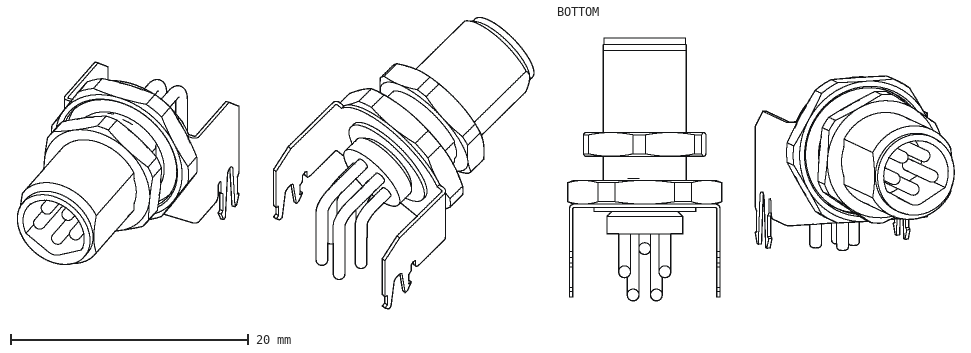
import cadquery as cq
import math


barrel_radius = 4.0
barrel_flat_half_width = 3.5
tip_radius = 3.45
tip_length = 0.55
tip_chamfer_length = 0.5
root_fillet = 0.16

socket_radius = 2.9
socket_depth = 6.5
key_distance = 2.39
key_tilt = 30.0
key_corner_radius = 1.0

nut_thickness = 2.0
nut_chamfer_height = 0.2
front_nut_start = 7.97
front_nut_flats = 10.0
front_nut_corner_radius = 5.5
front_nut_turn = 25.2
front_nut_bore_radius = 3.73
flange_start = 12.0
flange_flats = 12.0
flange_corner_radius = 6.5
flange_recess_radius = 5.41
flange_recess_chamfer = 0.15
flange_recess_depth = 1.0
collar_radius = 4.3
collar_fillet = 0.3

sheet = 0.3
bracket_front = flange_start + nut_thickness
bracket_half_width = 6.35
bracket_top = 2.5
bracket_bottom = -6.33
bracket_bend_radius = 0.4
bracket_disc_radius = flange_flats / 2
wall_back = 21.82
wall_bevel_y = 1.85
wall_bevel_z = 1.6

leg_center = 20.16
leg_half_width = 1.345
leg_shoulder_half_width = wall_back - leg_center
leg_shoulder_z = -5.97
leg_neck_z = -6.27
barb_top_z = -8.02
barb_point_z = -8.16
leg_end_z = -9.05
leg_end_outer = 1.2
leg_end_inner = 0.88
split_top_half_width = 0.48
split_side_z = -4.8
split_top_z = -4.43
gap_width = 0.53
gap_side_z = -4.95
gap_top_z = -4.7
gap_fillet = 0.5

ring_radius = 4.3
ring_thickness = 0.33
ring_end = bracket_front + sheet + ring_thickness
insulator_radius = 3.2
insulator_chamfer = 0.4
insulator_end = 16.5

pin_radius = 0.5
pin_tip_fillet = 0.3
pin_front = 0.35
pin_bend_radius = 1.5
pin_pitch = 1.95
first_leg_y = 17.75
upper_pin_end = -9.55
lower_pin_end = -9.4
pins = [
    (0.0, -1.36, first_leg_y, lower_pin_end),
    (-1.7, -0.35, first_leg_y + pin_pitch, lower_pin_end),
    (1.7, -0.35, first_leg_y + pin_pitch, lower_pin_end),
    (-0.98, 1.44, first_leg_y + 2 * pin_pitch, upper_pin_end),
    (0.98, 1.44, first_leg_y + 2 * pin_pitch, upper_pin_end),
]


def cross_section(y):
    """Workplane across the barrel axis at y: local x is X, local y is Z, extrusion runs to +Y."""
    return cq.Workplane(cq.Plane(origin=(0, y, 0), xDir=(1, 0, 0), normal=(0, -1, 0)))


def disc(radius, start, end):
    """Cylinder on the barrel axis between two Y positions."""
    return cross_section(start).circle(radius).extrude(start - end)


def revolve_profile(points):
    """Solid of revolution about the Y axis from (radius, y) points."""
    return cq.Workplane("XY").polyline(points).close().revolve(360, (0, 0, 0), (0, 1, 0))


def make_barrel():
    """Barrel with two flats, flaring into the flange collar through a root fillet."""
    root_start = flange_start - root_fillet
    root_radius = barrel_radius + root_fillet
    arc_offset = root_fillet * math.sin(math.radians(45))
    body = (
        cq.Workplane("XY")
        .moveTo(0, tip_length)
        .lineTo(tip_radius, tip_length)
        .lineTo(barrel_radius, tip_length + tip_chamfer_length)
        .lineTo(barrel_radius, root_start)
        .threePointArc((root_radius - arc_offset, root_start + arc_offset), (root_radius, flange_start))
        .lineTo(0, flange_start)
        .close()
        .revolve(360, (0, 0, 0), (0, 1, 0))
    )
    flats = cq.Workplane("XY").box(2 * barrel_flat_half_width, 2 * flange_start, 4 * barrel_radius)
    return body.intersect(flats).union(disc(tip_radius, 0, flange_start))


def make_socket():
    """Round socket closed below by a V-shaped key with a rounded apex."""
    pocket = disc(socket_radius, 0, socket_depth)
    apex_z = -key_distance / math.cos(math.radians(key_tilt))
    reach = 2 * socket_radius
    shoulder_z = apex_z + reach * math.tan(math.radians(key_tilt))
    key_outline = [
        (0, apex_z),
        (reach, shoulder_z),
        (reach, reach),
        (-reach, reach),
        (-reach, shoulder_z),
    ]
    key = (
        cross_section(0)
        .polyline(key_outline)
        .close()
        .extrude(-socket_depth)
        .edges(cq.selectors.NearestToPointSelector((0, socket_depth / 2, apex_z)))
        .fillet(key_corner_radius)
    )
    return pocket.intersect(key)


def make_hex(start, across_flats, corner_radius, turn):
    """Hexagonal nut whose corners are turned down to corner_radius and chamfered on both faces."""
    end = start + nut_thickness
    half_side_angle = math.radians(180 / 6)
    across_corners = across_flats / math.cos(half_side_angle)
    prism = (
        cross_section(start)
        .polygon(6, across_corners)
        .extrude(-nut_thickness)
        .rotate((0, 0, 0), (0, 1, 0), -turn)
    )
    face_radius = across_flats / 2
    blank = revolve_profile([
        (0, start),
        (face_radius, start),
        (corner_radius, start + nut_chamfer_height),
        (corner_radius, end - nut_chamfer_height),
        (face_radius, end),
        (0, end),
    ])
    return prism.intersect(blank)


def make_front_nut():
    """Nut on the barrel; its bore leaves a slit beside each barrel flat."""
    nut = make_hex(front_nut_start, front_nut_flats, front_nut_corner_radius, front_nut_turn)
    return nut.cut(disc(front_nut_bore_radius, front_nut_start, front_nut_start + nut_thickness))


def make_flange():
    """Rear hexagon with an annular recess around a filleted collar."""
    recess_floor = flange_start + flange_recess_depth
    recess = (
        disc(flange_recess_radius, flange_start, recess_floor)
        .cut(disc(collar_radius, flange_start, recess_floor))
        .edges(cq.selectors.RadiusNthSelector(0))
        .edges(">Y")
        .fillet(collar_fillet)
    )
    mouth = revolve_profile([
        (collar_radius, flange_start),
        (flange_recess_radius + flange_recess_chamfer, flange_start),
        (flange_recess_radius, flange_start + flange_recess_chamfer),
        (collar_radius, flange_start + flange_recess_chamfer),
    ])
    flange = make_hex(flange_start, flange_flats, flange_corner_radius, 0)
    return flange.cut(recess).cut(mouth)


def make_side_outline():
    """Outline of the bracket side walls in the YZ plane, drawn from the top front corner."""
    split_left = leg_center - split_top_half_width
    split_right = leg_center + split_top_half_width
    gap_back = leg_center - leg_shoulder_half_width
    gap_front = gap_back - gap_width
    return (
        cq.Workplane("YZ", origin=(-bracket_half_width, 0, 0))
        .moveTo(bracket_front, bracket_top)
        .lineTo(wall_back - wall_bevel_y, bracket_top)
        .lineTo(wall_back, bracket_top - wall_bevel_z)
        .lineTo(wall_back, leg_shoulder_z)
        .lineTo(leg_center + leg_half_width, leg_neck_z)
        .lineTo(leg_center + leg_half_width, barb_top_z)
        .lineTo(wall_back, barb_point_z)
        .lineTo(leg_center + leg_end_outer, leg_end_z)
        .lineTo(leg_center + leg_end_inner, leg_end_z)
        .lineTo(split_right, split_side_z)
        .threePointArc((leg_center, split_top_z), (split_left, split_side_z))
        .lineTo(leg_center - leg_end_inner, leg_end_z)
        .lineTo(leg_center - leg_end_outer, leg_end_z)
        .lineTo(gap_back, barb_point_z)
        .lineTo(leg_center - leg_half_width, barb_top_z)
        .lineTo(leg_center - leg_half_width, leg_neck_z)
        .lineTo(gap_back, leg_shoulder_z)
        .lineTo(gap_back, gap_side_z)
        .threePointArc(((gap_back + gap_front) / 2, gap_top_z), (gap_front, gap_side_z))
        .lineTo(gap_front, bracket_bottom + gap_fillet)
        .radiusArc((gap_front - gap_fillet, bracket_bottom), gap_fillet)
        .lineTo(bracket_front, bracket_bottom)
        .close()
    )


def make_bracket():
    """Bent sheet: a U-shaped channel trimmed by the outline of its side walls."""
    height = bracket_top - leg_end_z
    depth = wall_back - bracket_front
    channel = (
        cq.Workplane("XY", origin=(0, bracket_front + depth / 2, leg_end_z + height / 2))
        .box(2 * bracket_half_width, depth, height)
        .edges("|Z and <Y")
        .fillet(bracket_bend_radius)
        .faces(">Y or <Z or >Z")
        .shell(-sheet)
    )
    trimmed = channel.intersect(make_side_outline().extrude(2 * bracket_half_width))
    return trimmed.union(disc(bracket_disc_radius, bracket_front, bracket_front + sheet))


def make_rear():
    """Stepped ring behind the bracket plate and the chamfered insulator that holds the pins."""
    ring = disc(ring_radius, bracket_front, ring_end)
    insulator = revolve_profile([
        (0, ring_end),
        (insulator_radius - insulator_chamfer, ring_end),
        (insulator_radius, ring_end + insulator_chamfer),
        (insulator_radius, insulator_end),
        (0, insulator_end),
    ])
    return ring.union(insulator)


def make_pin(x, z, leg_y, end_z):
    """Round pin running back along Y and bent down along Z, with rounded ends."""
    path = (
        cq.Workplane("YZ", origin=(x, 0, 0))
        .moveTo(pin_front, z)
        .lineTo(leg_y - pin_bend_radius, z)
        .radiusArc((leg_y, z - pin_bend_radius), pin_bend_radius)
        .lineTo(leg_y, end_z)
    )
    pin = cross_section(pin_front).center(x, z).circle(pin_radius).sweep(path)
    return pin.faces("<Y or <Z").edges().fillet(pin_tip_fillet)


result = make_barrel().union(make_front_nut()).union(make_flange())
result = result.union(make_bracket()).union(make_rear()).cut(make_socket())
for pin in pins:
    result = result.union(make_pin(*pin))